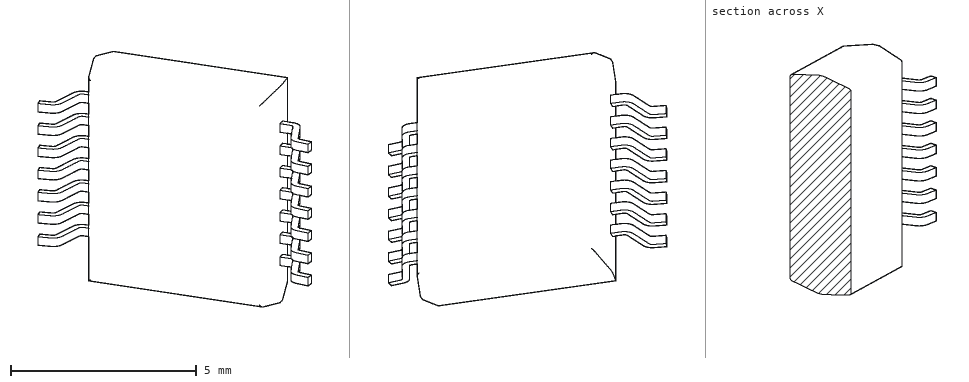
import math

import cadquery as cq

BODY_WIDTH = 5.37
BODY_THICKNESS = 2.0
BODY_HEIGHT = 6.33
BAND_THICKNESS = 0.2
DRAFT_ANGLE = 12.0
FACE_FILLET = 0.1

LEADS_PER_SIDE = 7
LEAD_PITCH = 0.65
LEAD_WIDTH = 0.25
LEAD_THICKNESS = 0.2
LEAD_SPAN = 7.84
SHOULDER_LENGTH = 0.3
FOOT_LENGTH = 0.355
FOOT_ANGLE = 8.0
STANDOFF = 0.14
INNER_RADIUS = 0.1
EMBED_DEPTH = 0.2

OUTER_RADIUS = INNER_RADIUS + LEAD_THICKNESS
MIDDLE_RADIUS = (INNER_RADIUS + OUTER_RADIUS) / 2


def make_body():
    """Parting band with a drafted, edge-rounded half on each side."""
    half_depth = (BODY_THICKNESS - BAND_THICKNESS) / 2
    outline = cq.Workplane("XZ").rect(BODY_WIDTH, BODY_HEIGHT)
    band = outline.extrude(BAND_THICKNESS / 2, both=True)
    front_half = (
        cq.Workplane("XZ", origin=(0, -BAND_THICKNESS / 2, 0))
        .rect(BODY_WIDTH, BODY_HEIGHT)
        .extrude(half_depth, taper=DRAFT_ANGLE)
        .faces("<Y")
        .edges()
        .fillet(FACE_FILLET)
    )
    back_half = front_half.mirror("XZ")
    return band.union(front_half).union(back_half)


def offset_point(point, distance, angle):
    """Point at a distance from another, in the direction of an angle in radians."""
    return (
        point[0] + distance * math.cos(angle),
        point[1] + distance * math.sin(angle),
    )


def make_lead():
    """One lead on the +X side, centred on Z = 0."""
    top = LEAD_THICKNESS / 2
    bottom = -LEAD_THICKNESS / 2
    root_x = BODY_WIDTH / 2 - EMBED_DEPTH
    foot_slope = -math.radians(FOOT_ANGLE)
    foot_up = foot_slope + math.pi / 2

    toe_lower = (
        LEAD_SPAN / 2 - LEAD_THICKNESS * math.cos(foot_up),
        -BODY_THICKNESS / 2 - STANDOFF,
    )
    toe_upper = offset_point(toe_lower, LEAD_THICKNESS, foot_up)
    heel = offset_point(toe_lower, -FOOT_LENGTH, foot_slope)

    knee = (BODY_WIDTH / 2 + SHOULDER_LENGTH, -MIDDLE_RADIUS)
    ankle = offset_point(heel, OUTER_RADIUS, foot_up)
    centre_distance = math.dist(knee, ankle)
    centre_slope = math.atan2(ankle[1] - knee[1], ankle[0] - knee[0])
    leg_slope = centre_slope - math.asin(2 * MIDDLE_RADIUS / centre_distance)
    leg_out = leg_slope + math.pi / 2

    knee_middle = (math.pi / 2 + leg_out) / 2
    ankle_middle = (leg_out + foot_up) / 2 + math.pi

    profile = (
        cq.Workplane("XY", origin=(0, 0, -LEAD_WIDTH / 2))
        .moveTo(root_x, bottom)
        .lineTo(root_x, top)
        .lineTo(knee[0], top)
        .threePointArc(
            offset_point(knee, OUTER_RADIUS, knee_middle),
            offset_point(knee, OUTER_RADIUS, leg_out),
        )
        .lineTo(*offset_point(ankle, -INNER_RADIUS, leg_out))
        .threePointArc(
            offset_point(ankle, INNER_RADIUS, ankle_middle),
            offset_point(ankle, -INNER_RADIUS, foot_up),
        )
        .lineTo(*toe_upper)
        .lineTo(*toe_lower)
        .lineTo(*heel)
        .threePointArc(
            offset_point(ankle, OUTER_RADIUS, ankle_middle),
            offset_point(ankle, -OUTER_RADIUS, leg_out),
        )
        .lineTo(*offset_point(knee, INNER_RADIUS, leg_out))
        .threePointArc(
            offset_point(knee, INNER_RADIUS, knee_middle),
            (knee[0], bottom),
        )
        .close()
    )
    return profile.extrude(LEAD_WIDTH)


result = make_body()
right_lead = make_lead()
left_lead = right_lead.mirror("YZ")
for index in range(LEADS_PER_SIDE):
    lead_z = (index - (LEADS_PER_SIDE - 1) / 2) * LEAD_PITCH
    for lead in (left_lead, right_lead):
        result = result.union(lead.translate((0, 0, lead_z)))